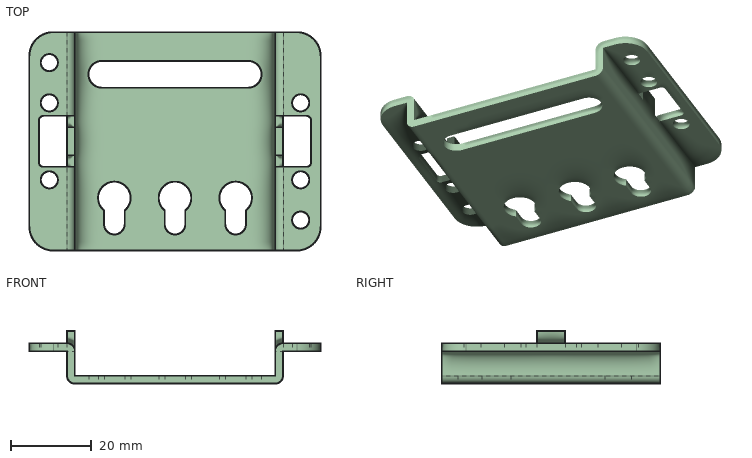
import cadquery as cq

length = 72.0
width = 54.0
height = 13.0
sheet = 2.0
bend_radius = sheet
corner_radius = 6.0

web_outer_x = 26.7
web_inner_x = web_outer_x - sheet
flange_top = 10.0
flange_bottom = flange_top - sheet

tab_width = 7.0
window_width = 12.5
window_outer_x = 33.55
window_corner_radius = 1.0

hole_diameter = 4.2
hole_x = 31.0
hole_near_y = 9.5
hole_far_y = 19.45

slot_length = 42.7
slot_width = 6.55
slot_y = 16.55

keyhole_pitch = 15.0
keyhole_diameter = 8.0
keyhole_y = -14.0
neck_width = 5.05
neck_end_y = -20.45


def block(x_min, x_max, y_size, z_min, z_max):
    """Box centred on Y, between the given X and Z limits."""
    return cq.Workplane("XY").box(
        x_max - x_min, y_size, z_max - z_min, centered=(False, True, False)
    ).translate((x_min, 0, z_min))


def make_bent_sheet():
    """Channel with outward flanges, rounded on the outside of each bend."""
    channel = block(-web_outer_x, web_outer_x, width, 0, flange_top)
    channel = channel.edges("|Y and <Z").fillet(bend_radius)
    flanges = block(-length / 2, length / 2, width, flange_bottom, flange_top)
    flanges = flanges.edges("|Z").fillet(corner_radius)
    cavity = (
        cq.Workplane("XZ")
        .moveTo(-web_inner_x, sheet)
        .lineTo(web_inner_x, sheet)
        .lineTo(web_inner_x, flange_top - bend_radius)
        .radiusArc((web_inner_x + bend_radius, flange_top), bend_radius)
        .lineTo(-web_inner_x - bend_radius, flange_top)
        .radiusArc((-web_inner_x, flange_top - bend_radius), bend_radius)
        .close()
        .extrude(width / 2, both=True)
    )
    return channel.union(flanges).cut(cavity)


def make_window():
    """Opening through the right flange, running across the bend to the channel interior."""
    opening = block(web_inner_x, window_outer_x, window_width, flange_bottom, flange_top)
    return opening.edges("|Z and >X").fillet(window_corner_radius)


def make_keyhole(x):
    """Round entry with a narrower round-ended neck."""
    entry = cq.Workplane("XY").center(x, keyhole_y).circle(keyhole_diameter / 2).extrude(sheet)
    neck_length = keyhole_y - neck_end_y
    neck = (
        cq.Workplane("XY")
        .center(x, (keyhole_y + neck_end_y) / 2)
        .slot2D(neck_length + neck_width, neck_width, 90)
        .extrude(sheet)
    )
    return entry.union(neck)


result = make_bent_sheet()

window = make_window()
tab = block(web_inner_x, web_outer_x, tab_width, flange_bottom, height)
result = result.cut(window).cut(window.mirror("YZ"))
result = result.union(tab).union(tab.mirror("YZ"))

hole_points = [(sx * hole_x, sy * hole_near_y) for sx in (-1, 1) for sy in (-1, 1)]
hole_points += [(-hole_x, hole_far_y), (hole_x, -hole_far_y)]
holes = cq.Workplane("XY").pushPoints(hole_points).circle(hole_diameter / 2).extrude(height)
result = result.cut(holes)

slot = cq.Workplane("XY").center(0, slot_y).slot2D(slot_length, slot_width).extrude(sheet)
result = result.cut(slot)
for index in (-1, 0, 1):
    result = result.cut(make_keyhole(index * keyhole_pitch))